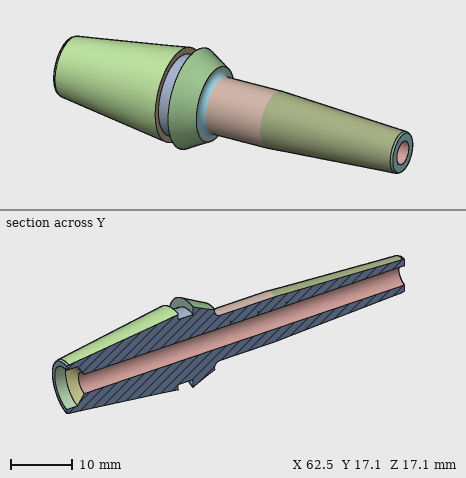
import cadquery as cq
import math

length = 62.5
head_end = 20.7
flange_start = 23.4
flange_end = 27.45
shank_taper_start = 38.55

head_front_diameter = 10.3
head_back_diameter = 16.0
neck_diameter = 13.8
flange_diameter = 17.05
flange_back_diameter = 12.7
shank_diameter = 9.6
tip_diameter = 7.05

end_chamfer_length = 0.4
end_chamfer_depth = 0.2
shank_root_fillet = 1.0

bore_diameter = 4.0
socket_diameter = 8.2
socket_depth = 2.0
drill_point_angle = 118.0


def revolve_about_x(points):
    """Revolve a closed (x, radius) outline about the X axis."""
    outline = cq.Workplane("XY").polyline(points).close()
    return outline.revolve(360, (0, 0, 0), (1, 0, 0))


def make_body():
    """Tapered head, neck, bevelled flange and tapered shank."""
    body = revolve_about_x([
        (0, 0),
        (0, head_front_diameter / 2 - end_chamfer_depth),
        (end_chamfer_length, head_front_diameter / 2),
        (head_end, head_back_diameter / 2),
        (head_end, neck_diameter / 2),
        (flange_start, neck_diameter / 2),
        (flange_start, flange_diameter / 2),
        (flange_end, flange_back_diameter / 2),
        (flange_end, shank_diameter / 2),
        (shank_taper_start, shank_diameter / 2),
        (length - end_chamfer_length, tip_diameter / 2),
        (length, tip_diameter / 2 - end_chamfer_depth),
        (length, 0),
    ])
    flange_back = body.faces(cq.NearestToPointSelector((flange_end, 0, 0)))
    inner_edge_first = cq.selectors.RadiusNthSelector(0)
    return flange_back.edges(inner_edge_first).fillet(shank_root_fillet)


def make_bore():
    """Through hole with a cone-bottomed socket in the head end."""
    half_angle = math.radians(drill_point_angle / 2)
    cone_length = (socket_diameter - bore_diameter) / 2 / math.tan(half_angle)
    cone_end = socket_depth + cone_length
    return revolve_about_x([
        (0, 0),
        (0, socket_diameter / 2),
        (socket_depth, socket_diameter / 2),
        (cone_end, bore_diameter / 2),
        (length, bore_diameter / 2),
        (length, 0),
    ])


result = make_body().cut(make_bore())